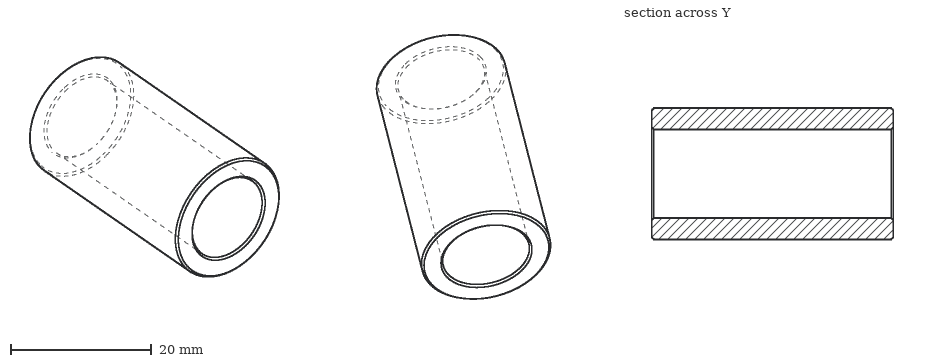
import cadquery as cq

length = 34.38
outer_diameter = 18.75
bore_diameter = 12.6
edge_chamfer = 0.3

tube = (
    cq.Workplane("YZ", origin=(-length / 2, 0, 0))
    .circle(outer_diameter / 2)
    .circle(bore_diameter / 2)
    .extrude(length)
)

result = tube.faces("<X or >X").edges().chamfer(edge_chamfer)